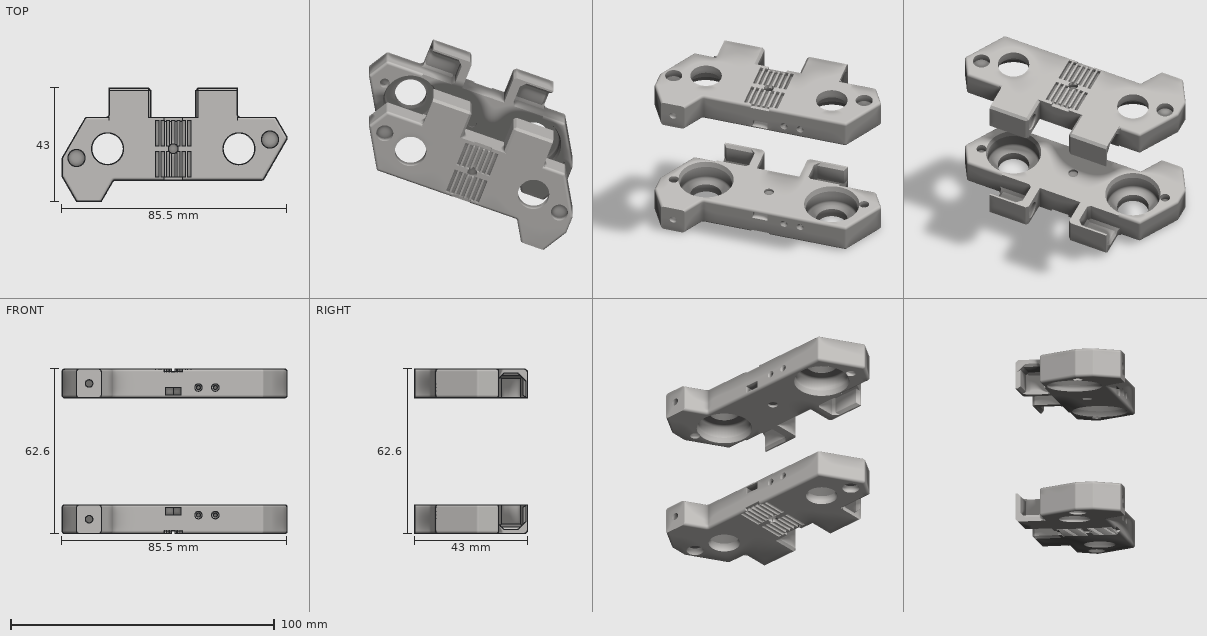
import cadquery as cq
import math

STACK_HEIGHT = 62.6
PLATE_GAP = 40.6
OUTER_Z = STACK_HEIGHT / 2
INNER_Z = PLATE_GAP / 2
THICKNESS = OUTER_Z - INNER_Z
MID_Z = (OUTER_Z + INNER_Z) / 2
EDGE = 1.0
OVERLAP = 0.85

HALF_WIDTH = 12.0
LEFT_X = -42.25
APEX_X = 43.45
APEX_Y = 4.1
FOOT_Y = -20.0
FOOT_CENTER_X = -32.0
FOOT_HALF_LENGTH = 4.6
LEFT_SIDE_TOP_Y = -3.6
LEFT_SIDE_BOTTOM_Y = -10.5
SLANT = math.tan(math.radians(30))

TAB_INNER_X = 8.5
TAB_OUTER_X = 24.4
TAB_END_Y = 23.0
TAB_CHAMFER = 0.9
SHARP_EDGE_X = 22.15

POCKET_BACK_X = 11.8
POCKET_ROOF = 2.6
POCKET_END_WALL = 1.7
POCKET_END_Y = TAB_END_Y - POCKET_END_WALL
POCKET_ROOF_Z = OUTER_Z - POCKET_ROOF
TAB_BORE_DIAMETER = 6.5
TAB_BORE_DEPTH = 2.6
TAB_BORE_Y = 18.8

BORE_X = 25.0
BORE_DIAMETER = 12.0
SEAT_DIAMETER = 19.8
SEAT_MOUTH_DIAMETER = 21.0
SEAT_MOUTH_DEPTH = 2.05
SEAT_DEPTH = 7.4
SEAT_FLOOR_RADIUS = 0.8

END_SOCKET_X = 36.8
END_SOCKET_Y = 3.5
OUTER_SOCKET_DIAMETER = 6.5
OUTER_SOCKET_DEPTH = 3.0
SMALL_SOCKET_DIAMETER = 3.8
INNER_SOCKET_DEPTH = 3.0
CENTER_OUTER_DEPTH = 3.0
CENTER_INNER_DEPTH = 1.0

GROOVE_COUNT = 7
GROOVE_ROW_SPAN = 12.1
GROOVE_WIDTH = 1.3
GROOVE_DEPTH = 1.5
GROOVE_START_Y = 1.0
GROOVE_END_Y = 10.7
RELIEF_HALF_WIDTH = 3.6
RELIEF_BACK_Y = 10.35

FOOT_HOLE_DIAMETER = 2.8
FOOT_HOLE_DEPTH = 5.1
SCREW_HOLE_XS = (9.6, 16.0)
SCREW_HOLE_HEIGHT = 3.9
SCREW_HOLE_DIAMETER = 1.5
SCREW_SINK_DIAMETER = 2.8
SCREW_HOLE_DEPTH = 5.1
NOTCH_HALF_WIDTH = 3.0
NOTCH_WALL_LENGTH = 3.4
NOTCH_BOTTOM = 1.0
NOTCH_TOP = 3.9


def block(x_range, y_range, z_range):
    """Box between two limits on each axis."""
    sizes = [high - low for low, high in (x_range, y_range, z_range)]
    return cq.Workplane("XY").box(*sizes, centered=False).translate((x_range[0], y_range[0], z_range[0]))


def rod(diameter, depth, x, y, z):
    """Cylinder rising from the given centre of its lower end."""
    return cq.Workplane("XY", origin=(x, y, z)).circle(diameter / 2).extrude(depth)


def both_sides(shape):
    """The shape together with its mirror image across X = 0."""
    return shape.union(shape.mirror("YZ"))


def rounded_bar():
    """Bar with slanted ends and a foot, rounded all round and cut flat at the foot end."""
    foot_tip_y = FOOT_Y - 3 * EDGE
    left_top_x = LEFT_X + (HALF_WIDTH - LEFT_SIDE_TOP_Y) * SLANT
    foot_tip_left_x = LEFT_X + (LEFT_SIDE_BOTTOM_Y - foot_tip_y) * SLANT
    foot_right_x = FOOT_CENTER_X + FOOT_HALF_LENGTH
    foot_tip_right_x = foot_right_x - (FOOT_Y - foot_tip_y) * SLANT
    foot_root_x = foot_right_x + (-HALF_WIDTH - FOOT_Y) * SLANT
    outline = [
        (left_top_x, HALF_WIDTH),
        (LEFT_X, LEFT_SIDE_TOP_Y),
        (LEFT_X, LEFT_SIDE_BOTTOM_Y),
        (foot_tip_left_x, foot_tip_y),
        (foot_tip_right_x, foot_tip_y),
        (foot_root_x, -HALF_WIDTH),
        (APEX_X - (APEX_Y + HALF_WIDTH) * SLANT, -HALF_WIDTH),
        (APEX_X, APEX_Y),
        (APEX_X - (HALF_WIDTH - APEX_Y) * SLANT, HALF_WIDTH),
    ]
    bar = cq.Workplane("XY", origin=(0, 0, INNER_Z)).polyline(outline).close().extrude(THICKNESS)
    bar = bar.edges("|Z").fillet(EDGE).faces("<Z or >Z").edges().fillet(EDGE)
    beyond_foot = block((LEFT_X, 0), (foot_tip_y - OVERLAP, FOOT_Y), (INNER_Z, OUTER_Z))
    return bar.cut(beyond_foot)


def left_tab():
    """Solid tab with chamfers on the outer face, on its free corner, and a rounded corner against the bar."""
    tab = block((-TAB_OUTER_X, -TAB_INNER_X), (0, TAB_END_Y), (INNER_Z, OUTER_Z))
    tab = tab.edges("(>X and >Y) or (>X and >Z) or (>Y and >Z)").chamfer(TAB_CHAMFER)
    corner = (-TAB_OUTER_X, HALF_WIDTH)
    corner_fill = (
        cq.Workplane("XY", origin=(0, 0, INNER_Z))
        .moveTo(corner[0], corner[1])
        .lineTo(corner[0], corner[1] + EDGE)
        .radiusArc((corner[0] - EDGE, corner[1]), EDGE)
        .close()
        .extrude(THICKNESS)
    )
    return tab.union(corner_fill)


def wedge(plane, origin, corner, legs, length):
    """Right-angled triangular prism: its corner and signed legs lie in the plane at the origin."""
    u, v = corner
    leg_u, leg_v = legs
    points = [(u, v), (u + leg_u, v), (u, v + leg_v)]
    return cq.Workplane(plane, origin=origin).polyline(points).close().extrude(length)


def left_tab_pocket():
    """Cutter for the pocket, open at the inner face and outer side, with flared mouths and sloped corners."""
    mouth_x = -TAB_OUTER_X
    back_x = -POCKET_BACK_X
    flare_y = POCKET_END_Y + EDGE
    flare_z = POCKET_ROOF_Z + EDGE
    start_x = mouth_x - 2 * EDGE
    start_z = INNER_Z - OVERLAP

    def along_x(corner, legs):
        return wedge("YZ", (start_x, 0, 0), corner, legs, back_x - start_x)

    def along_y(corner, legs):
        return wedge("XZ", (0, HALF_WIDTH, 0), corner, legs, HALF_WIDTH - flare_y)

    def along_z(corner, legs):
        return wedge("XY", (0, 0, start_z), corner, legs, flare_z - start_z)

    pocket = block((start_x, back_x), (HALF_WIDTH, POCKET_END_Y), (start_z, POCKET_ROOF_Z))
    outside = block((start_x, mouth_x), (HALF_WIDTH, flare_y), (start_z, flare_z))
    roof_flare = along_y((mouth_x, POCKET_ROOF_Z), (EDGE, EDGE))
    side_flare = along_z((mouth_x, POCKET_END_Y), (EDGE, EDGE))
    inner_flare = along_x((POCKET_END_Y, INNER_Z), (EDGE, EDGE))
    pocket = pocket.union(outside).union(roof_flare).union(side_flare).union(inner_flare)

    roof_to_end = along_x((flare_y, flare_z), (-3 * EDGE, -3 * EDGE))
    roof_to_bar = along_x((HALF_WIDTH, flare_z), (2 * EDGE, -2 * EDGE))
    roof_to_back = along_y((back_x, POCKET_ROOF_Z), (-EDGE, -EDGE))
    back_to_end = along_z((back_x, flare_y), (-2 * EDGE, -2 * EDGE))
    back_to_bar = along_z((back_x, HALF_WIDTH), (-EDGE, EDGE))
    return pocket.cut(roof_to_end).cut(roof_to_bar).cut(roof_to_back).cut(back_to_end).cut(back_to_bar)


def right_tab_bore():
    """Blind bore in the side of the right tab that faces the left tab."""
    bore = cq.Workplane("YZ", origin=(TAB_INNER_X, TAB_BORE_Y, MID_Z))
    return bore.circle(TAB_BORE_DIAMETER / 2).extrude(TAB_BORE_DEPTH)


def stepped_bore():
    """Through bore with a wide seat that is tapered at its mouth and rounded at its floor."""
    seat = rod(SEAT_DIAMETER, SEAT_DEPTH, BORE_X, 0, INNER_Z).faces(">Z").edges().fillet(SEAT_FLOOR_RADIUS)
    mouth = (
        cq.Workplane("XY", origin=(BORE_X, 0, INNER_Z))
        .circle(SEAT_MOUTH_DIAMETER / 2)
        .workplane(offset=SEAT_MOUTH_DEPTH)
        .circle(SEAT_DIAMETER / 2)
        .loft()
    )
    return seat.union(mouth).union(rod(BORE_DIAMETER, THICKNESS, BORE_X, 0, INNER_Z))


def sockets(x, y, outer_diameter, outer_depth, inner_depth):
    """Blind round sockets on one axis, one in the outer face and a small one in the inner face."""
    outer = rod(outer_diameter, outer_depth, x, y, OUTER_Z - outer_depth)
    inner = rod(SMALL_SOCKET_DIAMETER, inner_depth, x, y, INNER_Z)
    return outer.union(inner)


def grooves():
    """Two rows of parallel grooves in the outer face, one on each side of Y = 0."""
    pitch = GROOVE_ROW_SPAN / (GROOVE_COUNT - 1)
    length = GROOVE_END_Y - GROOVE_START_Y
    middle_y = (GROOVE_END_Y + GROOVE_START_Y) / 2
    z = OUTER_Z - GROOVE_DEPTH / 2
    cutter = cq.Workplane("XY")
    for index in range(GROOVE_COUNT):
        x = (index - (GROOVE_COUNT - 1) / 2) * pitch
        for y in (-middle_y, middle_y):
            cutter = cutter.union(cq.Workplane("XY").box(GROOVE_WIDTH, length, GROOVE_DEPTH).translate((x, y, z)))
    return cutter


def relief(y_range):
    """Step lowering the outer face between the end of the middle grooves and the side of the bar."""
    return block((-RELIEF_HALF_WIDTH, RELIEF_HALF_WIDTH), y_range, (OUTER_Z - EDGE, OUTER_Z))


def side_hole(x, z, diameter, depth, side_y):
    """Blind hole drilled toward +Y from the given side."""
    return cq.Workplane("XZ", origin=(x, side_y, z)).circle(diameter / 2).extrude(-depth)


def screw_hole(x):
    """Small hole in the -Y side with a tapered entry."""
    z = INNER_Z + SCREW_HOLE_HEIGHT
    entry = (
        cq.Workplane("XZ", origin=(x, -HALF_WIDTH, z))
        .circle(SCREW_SINK_DIAMETER / 2)
        .workplane(offset=-(SCREW_SINK_DIAMETER - SCREW_HOLE_DIAMETER) / 2)
        .circle(SCREW_HOLE_DIAMETER / 2)
        .loft()
    )
    return entry.union(side_hole(x, z, SCREW_HOLE_DIAMETER, SCREW_HOLE_DEPTH, -HALF_WIDTH))


def notch():
    """Slot in the -Y side that fits the end of a hexagon: parallel walls and a 120 degree back."""
    corner_y = NOTCH_WALL_LENGTH - HALF_WIDTH
    points = [
        (-NOTCH_HALF_WIDTH, -HALF_WIDTH),
        (NOTCH_HALF_WIDTH, -HALF_WIDTH),
        (NOTCH_HALF_WIDTH, corner_y),
        (0, corner_y + NOTCH_HALF_WIDTH * SLANT),
        (-NOTCH_HALF_WIDTH, corner_y),
    ]
    base = cq.Workplane("XY", origin=(0, 0, INNER_Z + NOTCH_BOTTOM))
    return base.polyline(points).close().extrude(NOTCH_TOP - NOTCH_BOTTOM)


def clamp_plate():
    """Upper plate, with its grooved outer face up."""
    sharp_edge = block((-SHARP_EDGE_X, SHARP_EDGE_X), (0, HALF_WIDTH), (INNER_Z, OUTER_Z))
    plate = rounded_bar().union(sharp_edge).union(both_sides(left_tab()))
    plate = plate.cut(both_sides(left_tab_pocket())).cut(right_tab_bore())
    plate = plate.cut(both_sides(stepped_bore()))
    for x, y in ((-END_SOCKET_X, -END_SOCKET_Y), (END_SOCKET_X, END_SOCKET_Y)):
        plate = plate.cut(sockets(x, y, OUTER_SOCKET_DIAMETER, OUTER_SOCKET_DEPTH, INNER_SOCKET_DEPTH))
    plate = plate.cut(sockets(0, 0, SMALL_SOCKET_DIAMETER, CENTER_OUTER_DEPTH, CENTER_INNER_DEPTH))
    plate = plate.cut(grooves())
    plate = plate.cut(relief((-HALF_WIDTH, -GROOVE_END_Y))).cut(relief((RELIEF_BACK_Y, HALF_WIDTH)))
    plate = plate.cut(side_hole(FOOT_CENTER_X, MID_Z, FOOT_HOLE_DIAMETER, FOOT_HOLE_DEPTH, FOOT_Y))
    for x in SCREW_HOLE_XS:
        plate = plate.cut(screw_hole(x))
    return plate.cut(notch())


upper_plate = clamp_plate()
lower_plate = upper_plate.mirror("XY")

result = cq.Compound.makeCompound([upper_plate.val(), lower_plate.val()])